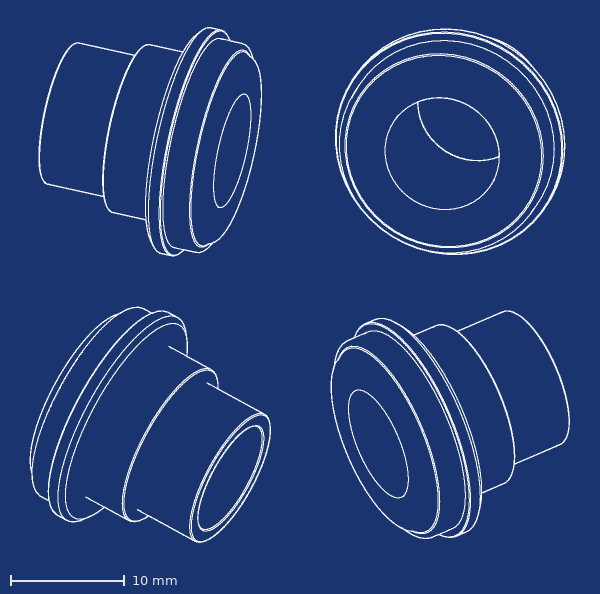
import cadquery as cq
import math

sleeve_end = 6.31
shank_end = 11.02
flange_end = 12.55
collar_end = 14.84
total_length = 15.8

bore_radius = 10.2 / 2
sleeve_radius = 12.7 / 2
shank_radius = 15.1 / 2
flange_radius = 20.3 / 2
collar_radius = 18.8 / 2
nose_base_radius = 8.77

root_fillet = 0.2
edge_break = 0.1
flange_chamfer_length = 0.45
flange_chamfer_depth = 0.5
flange_edge_break = 0.08
collar_fillet = 0.26
nose_root_bevel = 0.08
nose_fillet = 0.5
nose_angle = math.radians(30)

round_center_x = total_length - nose_fillet
nose_tangent_x = round_center_x + nose_fillet * math.sin(nose_angle)
nose_tangent_radius = nose_base_radius - (nose_tangent_x - collar_end) * math.tan(nose_angle)
round_center_radius = nose_tangent_radius - nose_fillet * math.cos(nose_angle)

nose_root_x = collar_end + nose_root_bevel
nose_root_radius = nose_base_radius - nose_root_bevel * math.tan(nose_angle)

profile = (
    cq.Workplane("XY")
    .moveTo(edge_break, bore_radius)
    .lineTo(0, bore_radius + edge_break)
    .lineTo(0, sleeve_radius - edge_break)
    .lineTo(edge_break, sleeve_radius)
    .lineTo(sleeve_end - root_fillet, sleeve_radius)
    .radiusArc((sleeve_end, sleeve_radius + root_fillet), -root_fillet)
    .lineTo(sleeve_end, shank_radius - edge_break)
    .lineTo(sleeve_end + edge_break, shank_radius)
    .lineTo(shank_end - root_fillet, shank_radius)
    .radiusArc((shank_end, shank_radius + root_fillet), -root_fillet)
    .lineTo(shank_end, flange_radius - flange_chamfer_depth)
    .lineTo(shank_end + flange_chamfer_length, flange_radius)
    .lineTo(flange_end - flange_edge_break, flange_radius)
    .lineTo(flange_end, flange_radius - flange_edge_break)
    .lineTo(flange_end, collar_radius)
    .lineTo(collar_end - collar_fillet, collar_radius)
    .radiusArc((collar_end, collar_radius - collar_fillet), collar_fillet)
    .lineTo(collar_end, nose_base_radius + nose_root_bevel)
    .lineTo(nose_root_x, nose_root_radius)
    .lineTo(nose_tangent_x, nose_tangent_radius)
    .radiusArc((total_length, round_center_radius), nose_fillet)
    .lineTo(total_length, bore_radius)
    .close()
)

result = profile.revolve(360, (0, 0, 0), (1, 0, 0))